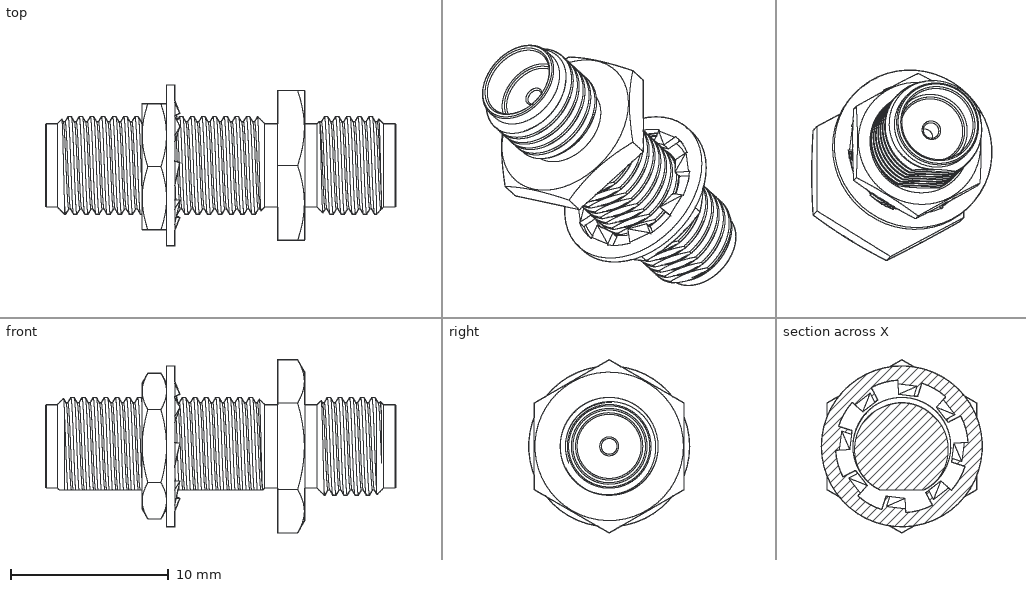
import cadquery as cq
import math


barrel_length = 22.2
barrel_radius = 2.65
end_chamfer = 0.08

thread_pitch = 25.4 / 36
thread_crest_radius = 3.1
thread_root_radius = 2.77
groove_root_width = thread_pitch / 6
flank_angle = 30
thread_inner_radius = 2.5
left_thread_start = 0.76
left_thread_end = 13.88
right_thread_start = 17.2
right_thread_end = 21.4
groove_start = 1.01
flat_depth = 2.77

socket_radius = 2.3
socket_chamfer = 0.1
socket_depth = 1.9
step_outer_radius = 2.13
step_inner_radius = 2.03
step_depth = 0.1
contact_radius = 0.6
contact_chamfer = 0.1
contact_depth = 2.0
drill_point_angle = 118

flange_start = 14.7
flange_thickness = 1.72
flange_across_flats = 9.5
flange_chamfer_radius = 4.7
hex_chamfer_angle = 30

nut_start = 6.1
nut_thickness = 1.6
nut_across_flats = 8.0
nut_chamfer_radius = 3.95
nut_offset_y = -0.08
nut_offset_z = 0.02
nut_countersink_radius = 3.2
nut_bore_radius = 2.6

seat_overlap = 0.04
washer_start = nut_start + nut_thickness - seat_overlap
washer_thickness = 0.54
washer_outer_radius = 5.1
washer_inner_radius = 4.19
tooth_count = 8
tooth_hinge_radius = 4.12
tooth_inner_radius = 3.3
tooth_first_angle = -3.5
tooth_sweep = 21.2
tooth_lift = 0.32


def revolve_about_x(points):
    """Solid of revolution from a closed outline of (x, radius) points."""
    return cq.Workplane("XY").polyline(points).close().revolve(360, (0, 0, 0), (1, 0, 0))


def rod(start, end, radius):
    """Cylinder along X."""
    return cq.Workplane("YZ", origin=(start, 0, 0)).circle(radius).extrude(end - start)


def thread_blank(start, end):
    """Threaded sleeve before its groove is cut, with 45 degree ends rising from the barrel."""
    rise = thread_crest_radius - barrel_radius
    return revolve_about_x([
        (start, thread_inner_radius),
        (start, barrel_radius),
        (start + rise, thread_crest_radius),
        (end - rise, thread_crest_radius),
        (end, barrel_radius),
        (end, thread_inner_radius),
    ])


def thread_groove(start, end):
    """Helical V groove with a flat root; it begins on the -Z side at the given X."""
    clearance = 0.1
    outer_radius = thread_crest_radius + clearance
    half_root = groove_root_width / 2
    half_mouth = half_root + (outer_radius - thread_root_radius) * math.tan(math.radians(flank_angle))
    path = cq.Workplane(cq.Wire.makeHelix(thread_pitch, end - start, thread_root_radius))
    profile = cq.Workplane("XZ").polyline([
        (thread_root_radius, -half_root),
        (thread_root_radius, half_root),
        (outer_radius, half_mouth),
        (outer_radius, -half_mouth),
    ]).close()
    groove = profile.sweep(path, isFrenet=True)
    return groove.rotate((0, 0, 0), (0, 1, 0), 90).translate((start, 0, 0))


def make_left_thread():
    """Left thread with the flat along its underside."""
    flat_length = left_thread_end - left_thread_start
    flat_cutter = cq.Workplane("XY").box(
        flat_length, 2 * thread_crest_radius, thread_crest_radius, centered=(False, True, False)
    ).translate((left_thread_start, 0, -flat_depth - thread_crest_radius))
    blank = thread_blank(left_thread_start, left_thread_end)
    thread = blank.cut(thread_groove(groove_start, left_thread_end))
    return thread.cut(flat_cutter, clean=False)


def make_right_thread():
    """Right thread, its groove in step with the groove of the left thread."""
    pitches = math.ceil((right_thread_start - groove_start) / thread_pitch)
    groove = thread_groove(groove_start + pitches * thread_pitch, right_thread_end)
    return thread_blank(right_thread_start, right_thread_end).cut(groove)


def make_socket():
    """Cutter for the socket at the left end: bore, sloped step and pointed contact hole."""
    step_floor = socket_depth + step_depth
    contact_floor = step_floor + contact_depth
    bore_radius = contact_radius - contact_chamfer
    drill_point = bore_radius / math.tan(math.radians(drill_point_angle / 2))
    return revolve_about_x([
        (0, 0),
        (0, socket_radius + socket_chamfer),
        (socket_chamfer, socket_radius),
        (socket_depth, socket_radius),
        (socket_depth, step_outer_radius),
        (step_floor, step_inner_radius),
        (step_floor, contact_radius),
        (step_floor + contact_chamfer, bore_radius),
        (contact_floor, bore_radius),
        (contact_floor + drill_point, 0),
    ])


def hex_corner_radius(across_flats):
    """Distance from the centre of a hexagon to its corners."""
    return across_flats / 2 / math.cos(math.radians(30))


def hex_prism(across_flats, start, thickness):
    """Hexagonal prism along X with flats facing +Y and -Y."""
    prism = cq.Workplane("YZ").polygon(6, 2 * hex_corner_radius(across_flats)).extrude(thickness)
    return prism.rotate((0, 0, 0), (1, 0, 0), 90).translate((start, 0, 0))


def chamfer_drop(across_flats, face_radius):
    """Axial length of the conical chamfer at the hex corners."""
    return (hex_corner_radius(across_flats) - face_radius) * math.tan(math.radians(hex_chamfer_angle))


def make_flange():
    """Hex flange with its corners chamfered on the right face only."""
    end = flange_start + flange_thickness
    corner_radius = hex_corner_radius(flange_across_flats)
    drop = chamfer_drop(flange_across_flats, flange_chamfer_radius)
    envelope = revolve_about_x([
        (flange_start, 0),
        (flange_start, corner_radius),
        (end - drop, corner_radius),
        (end, flange_chamfer_radius),
        (end, 0),
    ])
    return hex_prism(flange_across_flats, flange_start, flange_thickness).intersect(envelope)


def make_nut():
    """Hex nut chamfered on both faces, with a countersunk bore fused to the thread core."""
    end = nut_start + nut_thickness
    corner_radius = hex_corner_radius(nut_across_flats)
    drop = chamfer_drop(nut_across_flats, nut_chamfer_radius)
    countersink = nut_countersink_radius - nut_bore_radius
    section = revolve_about_x([
        (nut_start, nut_countersink_radius),
        (nut_start, nut_chamfer_radius),
        (nut_start + drop, corner_radius),
        (end - drop, corner_radius),
        (end, nut_chamfer_radius),
        (end, nut_countersink_radius),
        (end - countersink, nut_bore_radius),
        (nut_start + countersink, nut_bore_radius),
    ])
    nut = hex_prism(nut_across_flats, nut_start, nut_thickness).intersect(section)
    return nut.translate((0, nut_offset_y, nut_offset_z))


def polar_point(x, radius, angle):
    """Point at a radius from the X axis, the angle measured from +Y towards +Z."""
    turn = math.radians(angle)
    return cq.Vector(x, radius * math.cos(turn), radius * math.sin(turn))


def tooth_plate(outer_radius, inner_radius, first_angle, inner_lift):
    """Plate of washer thickness between two radii, its inner first corner lifted towards +X."""
    last_angle = first_angle + tooth_sweep

    def outline(x):
        return [
            polar_point(x, outer_radius, first_angle),
            polar_point(x, outer_radius, last_angle),
            polar_point(x, inner_radius, last_angle),
            polar_point(x + inner_lift, inner_radius, first_angle),
        ]

    back = outline(washer_start)
    front = outline(washer_start + washer_thickness)
    loops = []
    for side in (back, front):
        loops.append([side[0], side[1], side[3]])
        loops.append([side[1], side[2], side[3]])
    for corner in range(len(back)):
        following = (corner + 1) % len(back)
        loops.append([back[corner], back[following], front[following], front[corner]])
    faces = [cq.Face.makeFromWires(cq.Wire.makePolygon(loop, close=True)) for loop in loops]
    return cq.Workplane(cq.Solid.makeSolid(cq.Shell.makeShell(faces)))


def make_tooth(first_angle):
    """Washer tooth: a flat root rooted in the ring and a leaf twisted about the hinge line."""
    ring_overlap = 0.1
    root = tooth_plate(washer_inner_radius + ring_overlap, tooth_hinge_radius, first_angle, 0)
    leaf = tooth_plate(tooth_hinge_radius, tooth_inner_radius, first_angle, tooth_lift)
    return root.union(leaf)


def make_washer():
    """Lock washer ring with its ring of internal teeth."""
    washer = rod(washer_start, washer_start + washer_thickness, washer_outer_radius)
    washer = washer.cut(rod(washer_start, washer_start + washer_thickness, washer_inner_radius))
    for index in range(tooth_count):
        washer = washer.union(make_tooth(tooth_first_angle + index * 360 / tooth_count))
    return washer


left_socket = make_socket()
right_socket = left_socket.mirror("YZ").translate((barrel_length, 0, 0))

left_group = make_left_thread().union(make_nut(), clean=False).union(make_washer(), clean=False)
barrel_core = rod(0, barrel_length, barrel_radius).edges().chamfer(end_chamfer)
barrel_core = barrel_core.cut(left_socket).cut(right_socket)
barrel_core = barrel_core.union(make_flange().cut(rod(0, barrel_length, thread_inner_radius)))
barrel_core = barrel_core.union(make_right_thread())

result = left_group.union(barrel_core, clean=False)